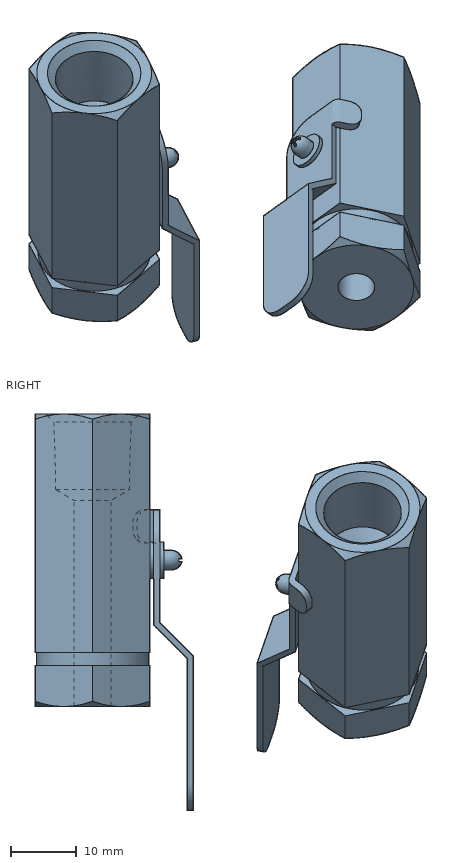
import cadquery as cq
import math


across_flats = 17.4625
flat_y = across_flats / 2
corner_radius = flat_y / math.cos(math.radians(30))
body_length = 44.5
neck_diameter = 17.12
neck_top_z = -36.25
neck_bottom_z = -38.25
end_chamfer_angle = 30

passage_diameter = 5.59
mouth_diameter = 14.2
mouth_depth = 1.2
bore_top_diameter = 11.8
bore_bottom_diameter = 11.2
bore_depth = 11.5
cone_half_angle = 59

lower_washer_thickness = 0.56
upper_washer_thickness = 0.62
lever_thickness = 0.95
lever_width = 9.6
lever_inner_y = flat_y + lower_washer_thickness
lever_outer_y = lever_inner_y + lever_thickness
grip_outer_y = 15.34
crank_angle = 45
crank_top_z = -31.7
lever_top_z = -14.55
lever_bottom_z = -60.33
lever_top_corner_radius = 5.08
lever_tip_corner_radius = 3.8

stem_z = -22.23
stem_diameter = 3.05
washer_diameter = 5.59
stem_straight_end_y = flat_y + 3.2
stem_end_y = flat_y + 4.85
stem_tip_radius = 0.4
driver_slot_width = 0.4
driver_slot_depth = 0.4

tab_angle = 60
tab_thickness = 1.2
tab_height = 5.08
tab_clearance = 0.1
tab_end_y = 6.15
tab_corner_radius = 2.0
tab_outer_bend_radius = 1.3
tab_inner_bend_radius = 0.6


def revolve_about_z(profile):
    """Solid of revolution from (radius, z) points."""
    return cq.Workplane("XZ").polyline(profile).close().revolve(360, (0, 0), (0, 1))


def make_hexagon():
    """Hexagonal bar with a turned neck and both ends chamfered at the corners."""
    bar = cq.Workplane("XY").polygon(6, 2 * corner_radius).extrude(-body_length)
    chamfer_height = (corner_radius - flat_y) * math.tan(math.radians(end_chamfer_angle))
    neck_radius = neck_diameter / 2
    turned = revolve_about_z([
        (0, 0),
        (flat_y, 0),
        (corner_radius, -chamfer_height),
        (corner_radius, neck_top_z),
        (neck_radius, neck_top_z),
        (neck_radius, neck_bottom_z),
        (corner_radius, neck_bottom_z),
        (corner_radius, chamfer_height - body_length),
        (flat_y, -body_length),
        (0, -body_length),
    ])
    return bar.intersect(turned)


def make_bore():
    """Countersunk, tapered bore that narrows through a cone into the through passage."""
    passage_radius = passage_diameter / 2
    bore_bottom_radius = bore_bottom_diameter / 2
    cone_height = (bore_bottom_radius - passage_radius) / math.tan(math.radians(cone_half_angle))
    return revolve_about_z([
        (0, 0),
        (mouth_diameter / 2, 0),
        (bore_top_diameter / 2, -mouth_depth),
        (bore_bottom_radius, -bore_depth),
        (passage_radius, -bore_depth - cone_height),
        (passage_radius, -body_length),
        (0, -body_length),
    ])


def make_washers():
    """The two washers, as one disc that reaches through the lever."""
    stack_height = lower_washer_thickness + lever_thickness + upper_washer_thickness
    flat_plane = cq.Workplane("XZ", origin=(0, flat_y, stem_z))
    return flat_plane.circle(washer_diameter / 2).extrude(-stack_height)


def make_stem():
    """Round-ended stem with a crossed driver slot in its tip."""
    stem_radius = stem_diameter / 2
    pin = (
        cq.Workplane("XY", origin=(0, 0, stem_z))
        .moveTo(0, flat_y)
        .lineTo(stem_radius, flat_y)
        .lineTo(stem_radius, stem_straight_end_y)
        .tangentArcPoint((stem_tip_radius, stem_end_y), relative=False)
        .lineTo(0, stem_end_y)
        .close()
        .revolve(360, (0, 0), (0, 1))
    )
    slot = cq.Workplane("XY").box(stem_diameter, 2 * driver_slot_depth, driver_slot_width)
    for angle in (0, 90):
        turned_slot = slot.rotate((0, 0, 0), (0, 1, 0), angle)
        pin = pin.cut(turned_slot.translate((0, stem_end_y, stem_z)))
    return pin


def make_lever():
    """Strip cranked away from the body, with one rounded top corner and a rounded lower tip."""
    grip_inner_y = grip_outer_y - lever_thickness
    crank_bottom_z = crank_top_z - (grip_outer_y - lever_outer_y) / math.tan(math.radians(crank_angle))
    miter = lever_thickness * math.tan(math.radians(crank_angle / 2))
    side_profile = [
        (lever_inner_y, lever_top_z),
        (lever_outer_y, lever_top_z),
        (lever_outer_y, crank_top_z),
        (grip_outer_y, crank_bottom_z),
        (grip_outer_y, lever_bottom_z),
        (grip_inner_y, lever_bottom_z),
        (grip_inner_y, crank_bottom_z - miter),
        (lever_inner_y, crank_top_z - miter),
    ]
    strip = cq.Workplane("YZ").polyline(side_profile).close().extrude(lever_width / 2, both=True)
    strip = strip.edges("|Y").edges("<Z").fillet(lever_tip_corner_radius)
    return strip.edges("|Y").edges(">Z").edges(">X").fillet(lever_top_corner_radius)


def tab_face_x(y, distance):
    """X of the plane parallel to the neighbouring flat at a distance outside it, for a given Y."""
    along_flat = (y - flat_y) / math.tan(math.radians(tab_angle))
    return along_flat - corner_radius / 2 - distance / math.sin(math.radians(tab_angle))


def fillet_upright_edge(solid, corner, radius):
    """Round the Z-parallel tab edge nearest to a corner of the tab outline."""
    middle = (corner[0], corner[1], lever_top_z - tab_height / 2)
    return solid.edges("|Z").edges(cq.selectors.NearestToPointSelector(middle)).fillet(radius)


def make_tab():
    """Tab that continues the lever around a bend and runs along the neighbouring flat."""
    sine = math.sin(math.radians(tab_angle))
    cosine = math.cos(math.radians(tab_angle))
    inner_corner = (tab_face_x(lever_inner_y, tab_clearance), lever_inner_y)
    outer_corner = (tab_face_x(lever_outer_y, tab_clearance + tab_thickness), lever_outer_y)
    end_inner = (tab_face_x(tab_end_y, tab_clearance), tab_end_y)
    end_outer = (end_inner[0] - tab_thickness * sine, end_inner[1] + tab_thickness * cosine)
    outline = [
        (0, lever_inner_y),
        (0, lever_outer_y),
        outer_corner,
        end_outer,
        end_inner,
        inner_corner,
    ]
    tab = (
        cq.Workplane("XY", origin=(0, 0, lever_top_z))
        .polyline(outline)
        .close()
        .extrude(-tab_height)
    )
    tab = fillet_upright_edge(tab, outer_corner, tab_outer_bend_radius)
    tab = fillet_upright_edge(tab, inner_corner, tab_inner_bend_radius)
    toward_end = cq.Vector(-cosine, -sine, 0)
    end_face = tab.faces(cq.selectors.DirectionMinMaxSelector(toward_end))
    return end_face.edges("not |Z").fillet(tab_corner_radius)


body = make_hexagon().cut(make_bore())
result = body.union(make_washers()).union(make_stem()).union(make_lever()).union(make_tab())